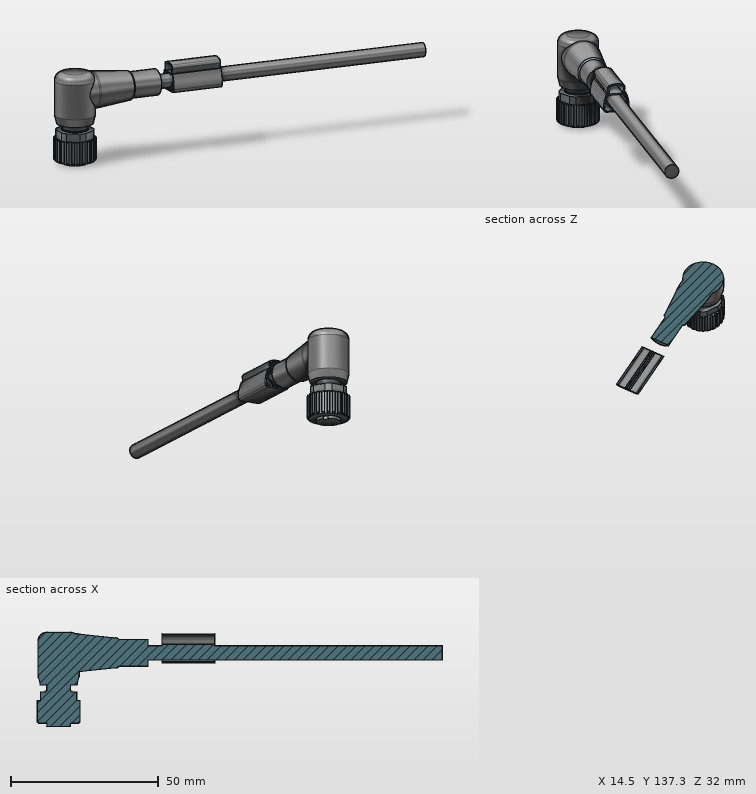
import cadquery as cq
import math

total_height = 32.0
cable_axis_z = 25.0
cable_end_y = 130.04

body_radius = 7.0
body_foot_radius = 6.3
body_foot_top_z = 17.0
body_bottom_z = 14.1
body_top_fillet = 3.0

core_radius = 4.1
key_width = 1.8
key_depth = 0.8
key_angle = 225
ring_radius = 4.55
ring_top_z = 12.1

nut_radius = 7.26
nut_bottom_z = 1.1
knurl_top_z = 8.9
nut_chamfer = 0.5
tooth_count = 24
groove_depth = 0.5
groove_share = 0.5
hex_across_flats = 12.3
hex_corner_diameter = 13.1
hex_top_z = 11.8

arm_radius = 6.5
arm_straight_end_y = 6.6
arm_end_y = 19.9
arm_end_radius = 5.1
arm_end_chamfer = 0.6
arm_blend_radius = 5.5
sleeve_radius = 4.55
sleeve_end_y = 30.3
cable_radius = 2.45
cable_overlap = 1.0

clip_start_y = 35.0
clip_length = 18.0
clip_wall = 0.5
clip_half_width = 4.55
clip_bottom_z = 21.5
clip_corner_radius = 1.35
clip_side_radius = 12.3
clip_waist_z = 28.0
clip_top_z = 31.5
label_half_width = 3.05
label_waist_half_width = 2.8
label_widest_z = 29.75
label_crown_half_width = 2.45
label_crown_edge_z = 31.0
label_corner_radius = 1.2
rib_angle = 45
rib_inset = 0.15


def cylinder_z(radius, bottom_z, top_z):
    return cq.Workplane("XY").workplane(offset=bottom_z).circle(radius).extrude(top_z - bottom_z)


def cylinder_y(radius, start_y, end_y):
    plane = cq.Plane(origin=(0, start_y, cable_axis_z), xDir=(1, 0, 0), normal=(0, 1, 0))
    return cq.Workplane(plane).circle(radius).extrude(end_y - start_y)


def make_body():
    barrel = cylinder_z(body_radius, body_foot_top_z, total_height)
    barrel = barrel.faces(">Z").edges().fillet(body_top_fillet)
    foot = (
        cq.Workplane("XY").workplane(offset=body_bottom_z).circle(body_foot_radius)
        .workplane(offset=body_foot_top_z - body_bottom_z).circle(body_radius)
        .loft(ruled=True)
    )
    return barrel.union(foot)


def make_core():
    core = cylinder_z(core_radius, 0, body_foot_top_z)
    key_slot = (
        cq.Workplane("XY").box(2 * key_depth, key_width, nut_bottom_z, centered=(True, True, False))
        .translate((core_radius, 0, 0))
        .rotate((0, 0, 0), (0, 0, 1), key_angle)
    )
    return core.cut(key_slot).union(cylinder_z(ring_radius, hex_top_z, ring_top_z))


def make_nut():
    knurl = cylinder_z(nut_radius, nut_bottom_z, knurl_top_z)
    knurl = knurl.faces("<Z").edges().chamfer(nut_chamfer)
    groove_width = groove_share * 2 * math.pi * nut_radius / tooth_count
    grooves = (
        cq.Workplane("XY").workplane(offset=nut_bottom_z)
        .polarArray(nut_radius, 180 / tooth_count, 360, tooth_count)
        .rect(2 * groove_depth, groove_width)
        .extrude(knurl_top_z - nut_bottom_z)
    )
    hexagon = (
        cq.Workplane("XY").workplane(offset=nut_bottom_z + nut_chamfer)
        .polygon(6, hex_across_flats / math.cos(math.pi / 6))
        .extrude(hex_top_z - nut_bottom_z - nut_chamfer)
    )
    collar = hexagon.intersect(cylinder_z(hex_corner_diameter / 2, 0, hex_top_z))
    return knurl.cut(grooves).union(collar)


def make_arm():
    profile = [
        (0, 0),
        (arm_radius, 0),
        (arm_radius, arm_straight_end_y),
        (arm_end_radius, arm_end_y),
        (sleeve_radius, arm_end_y + arm_end_chamfer),
        (sleeve_radius, sleeve_end_y),
        (0, sleeve_end_y),
    ]
    arm = cq.Workplane("XY").polyline(profile).close().revolve(360, (0, 0, 0), (0, 1, 0))
    start_of_taper = cq.selectors.NearestToPointSelector((0, arm_straight_end_y, 0))
    arm = arm.edges("%CIRCLE").edges(start_of_taper).fillet(arm_blend_radius)
    return arm.translate((0, 0, cable_axis_z))


def extrude_clip_profile(profile):
    """Extrude a closed XZ outline over the clip length."""
    return profile.extrude(-clip_length).translate((0, clip_start_y, 0))


def label_channel(inset):
    """Upper channel of the clip, its outline moved inwards by inset."""
    widest = label_half_width - inset
    waist = label_waist_half_width - inset
    crown_edge = label_crown_half_width - inset / 2
    crown_edge_z = label_crown_edge_z - inset
    corner = label_corner_radius - inset
    outline = (
        cq.Workplane("XZ")
        .moveTo(-waist, clip_waist_z)
        .lineTo(waist, clip_waist_z)
        .lineTo(widest, label_widest_z)
        .radiusArc((crown_edge, crown_edge_z), -corner)
        .threePointArc((0, clip_top_z - inset), (-crown_edge, crown_edge_z))
        .radiusArc((-widest, label_widest_z), -corner)
        .close()
    )
    return extrude_clip_profile(outline)


def cable_housing(inset):
    """Lower part of the clip, its outline moved inwards by inset."""
    widest = clip_half_width - inset
    corner = clip_corner_radius - inset
    top = clip_waist_z - inset
    bottom = clip_bottom_z + inset
    side_radius = clip_side_radius - inset
    side_height = top - (bottom + corner)
    top_half_width = widest - side_radius + math.sqrt(side_radius**2 - side_height**2)
    outline = (
        cq.Workplane("XZ")
        .moveTo(-top_half_width, top)
        .lineTo(top_half_width, top)
        .radiusArc((widest, bottom + corner), side_radius)
        .radiusArc((widest - corner, bottom), corner)
        .lineTo(corner - widest, bottom)
        .radiusArc((-widest, bottom + corner), corner)
        .radiusArc((-top_half_width, top), side_radius)
        .close()
    )
    return extrude_clip_profile(outline)


def make_ribs():
    """Two slanted ribs that cradle the cable from below."""
    slab = (
        cq.Workplane("XY")
        .box(2 * clip_half_width, clip_length, clip_wall, centered=(True, False, False))
        .translate((0, clip_start_y, cable_axis_z - cable_radius + rib_inset - clip_wall))
    )
    axis_start = (0, 0, cable_axis_z)
    axis_end = (0, 1, cable_axis_z)
    left_rib = slab.rotate(axis_start, axis_end, rib_angle)
    right_rib = slab.rotate(axis_start, axis_end, -rib_angle)
    ribs = left_rib.union(right_rib)
    return ribs.intersect(cable_housing(clip_wall / 2))


def make_clip():
    shell = cable_housing(0).union(label_channel(0))
    return shell.cut(cable_housing(clip_wall)).cut(label_channel(clip_wall)).union(make_ribs())


cable = cylinder_y(cable_radius, sleeve_end_y - cable_overlap, cable_end_y)
result = make_body().union(make_core()).union(make_nut()).union(make_arm())
result = result.union(cable).union(make_clip())